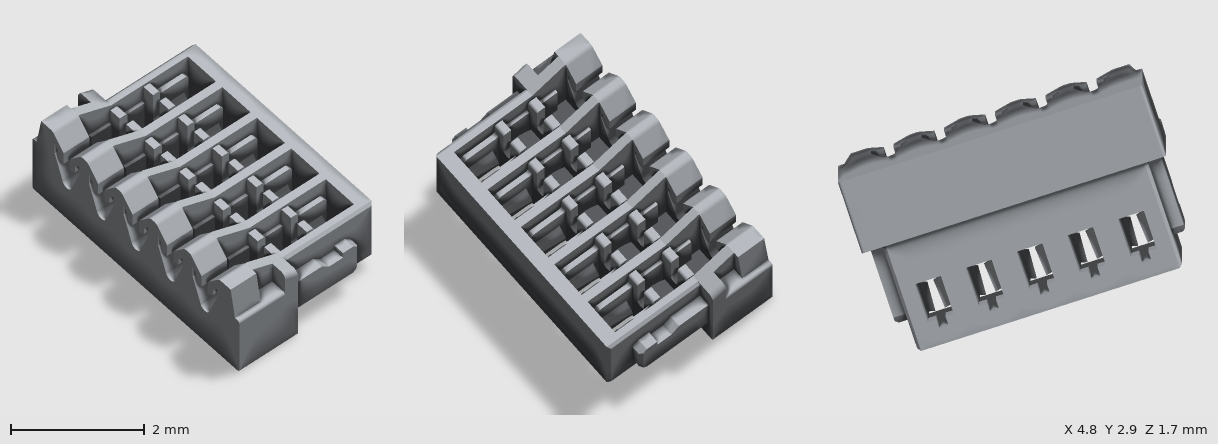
import cadquery as cq
import math

width = 4.8
depth = 2.9
height = 1.7
contact_count = 5
pitch = width / (contact_count + 1)
contact_positions = [(i - (contact_count - 1) / 2) * pitch for i in range(contact_count)]

head_depth = 1.145
wall_depth = 0.505
head_bottom_round = 0.05
ear_round = 0.1

rear_half_width = 2.09
rear_bottom = 0.25
rear_top = height - rear_bottom
rear_chamfer = 0.05

shelf_height = 1.14
shelf_round = 0.05
notch_depth = 0.9
notch_half_width = 2.1
end_half_width_top = 2.2
end_half_width_bottom = 2.3

latch_half_width = 2.29
latch_rear = 2.445
latch_bottom = 0.45
latch_top = 1.04
latch_corner_length = 0.115
latch_corner_height = 0.09
latch_dip_rear = 2.125
latch_dip_front = 1.86
latch_ramp_front = 1.71
latch_dip_height = 0.935
latch_chamfer = 0.05

cavity_half_width = 0.325
cavity_rear = 2.65
floor_height = 0.5
ledge_front = 0.705
ledge_top = 1.1
channel_half_width = 0.27
opening_rear = 2.505
rear_slot_half_width = 0.07

valley_top_half_width = 0.33
valley_bottom_half_width = 0.095
valley_bottom = 1.445
valley_round = 0.1
entry_half_width = 0.075
lip_edge_height = 1.42
lip_bottom = 1.18
lip_half_width = 0.19
lip_round = 0.05
lip_root_height = 1.335
pocket_half_width = 0.285
pocket_shoulder = 1.245
pocket_throat_half_width = 0.105
pocket_throat_height = 0.78
pocket_bottom = 0.695

contact_half_width = 0.295
front_blade_top = 1.4
rear_blade_top = 1.45
blade_round = 0.05
front_blade_start = 1.1
front_blade_end = 1.255
rear_blade_start = 1.75
rear_blade_end = 1.895
slot_half_width = 0.075
slot_straight_end = 0.905
slot_bottom = 0.855
base_thickness = 0.1
base_end_half_width = 0.22
base_middle_half_width = 0.26
side_wall_rear = 2.555
side_wall_top = 1.2
side_wall_inner = 0.2
side_wall_chamfer = 0.05
side_wall_blend = 0.06
finger_front = 2.005
finger_rear = 2.47
finger_root_top = 0.875
finger_bend_inset = 0.16
finger_bend_drop = 0.06
finger_tip_front = 0.05
finger_tip_rear = 0.075
finger_drop = 0.19
finger_bow = 0.007
finger_thickness = 0.06


def box(x_range, y_range, z_range):
    """Box from its lower and upper limit along each axis."""
    (x0, x1), (y0, y1), (z0, z1) = x_range, y_range, z_range
    return cq.Workplane("XY").box(x1 - x0, y1 - y0, z1 - z0, centered=False).translate((x0, y0, z0))


def along_y(outline, start, end):
    """Extrude a closed XZ outline from Y = start to Y = end."""
    return outline.extrude(start - end).translate((0, start, 0))


def head():
    """Front block whose top slopes down to the rear body, with rounded ears and bottom edges."""
    profile = [
        (0, 0),
        (head_depth, 0),
        (head_depth, rear_top),
        (wall_depth, height),
        (0, height),
    ]
    slope = cq.Vector(0, head_depth - wall_depth, rear_top - height)
    block = cq.Workplane("YZ").polyline(profile).close().extrude(width / 2, both=True)
    block = block.edges(cq.selectors.ParallelDirSelector(slope)).fillet(ear_round)
    return block.faces("<Z").edges("|Y").fillet(head_bottom_round)


def end_notch():
    """Notch above the shelf at the -X end, beside the tapered end of the wire wall."""
    taper = [
        (-width / 2, shelf_height),
        (-end_half_width_bottom, shelf_height),
        (-end_half_width_top, height),
        (-width / 2, height),
    ]
    front = along_y(cq.Workplane("XZ").polyline(taper).close(), 0, wall_depth)
    rear = box((-width / 2, -notch_half_width), (wall_depth, notch_depth), (shelf_height, height))
    edge_block = box(
        (-width / 2, shelf_round - width / 2),
        (0, notch_depth),
        (shelf_height - shelf_round, shelf_height),
    )
    edge_rod = (
        cq.Workplane("XZ")
        .center(shelf_round - width / 2, shelf_height - shelf_round)
        .circle(shelf_round)
        .extrude(-notch_depth)
    )
    return front.union(rear).union(edge_block.cut(edge_rod))


def rear_body():
    """Plain block behind the head with chamfered long and rear side edges."""
    block = box((-rear_half_width, rear_half_width), (head_depth, depth), (rear_bottom, rear_top))
    return block.edges("|Y or (|Z and >Y)").chamfer(rear_chamfer)


def latch_ribs():
    """Both side ribs as one slab through the rear body."""
    profile = [
        (head_depth, latch_bottom),
        (latch_rear - latch_corner_length, latch_bottom),
        (latch_rear, latch_bottom + latch_corner_height),
        (latch_rear, latch_top - latch_corner_height),
        (latch_rear - latch_corner_length, latch_top),
        (latch_dip_rear, latch_top),
        (latch_dip_rear, latch_dip_height),
        (latch_dip_front, latch_dip_height),
        (latch_ramp_front, latch_top),
        (head_depth, latch_top),
    ]
    slab = cq.Workplane("YZ").polyline(profile).close().extrude(latch_half_width, both=True)
    return slab.faces(">Y").edges("|Z").chamfer(latch_chamfer)


def valley():
    """Wire lead-in over one contact: sloped sides that round over at the crest."""
    slope = math.atan2(height - valley_bottom, valley_top_half_width - valley_bottom_half_width)
    tangent = valley_round * math.tan(slope / 2)
    crest_x = valley_top_half_width + tangent
    middle_x = crest_x - valley_round * math.sin(slope / 2)
    middle_z = height - valley_round * (1 - math.cos(slope / 2))
    foot_x = valley_top_half_width - tangent * math.cos(slope)
    foot_z = height - tangent * math.sin(slope)
    outline = (
        cq.Workplane("XZ")
        .moveTo(-crest_x, height)
        .threePointArc((-middle_x, middle_z), (-foot_x, foot_z))
        .lineTo(-valley_bottom_half_width, valley_bottom)
        .lineTo(-entry_half_width, lip_edge_height)
        .lineTo(entry_half_width, lip_edge_height)
        .lineTo(valley_bottom_half_width, valley_bottom)
        .lineTo(foot_x, foot_z)
        .threePointArc((middle_x, middle_z), (crest_x, height))
        .close()
    )
    return along_y(outline, 0, head_depth)


def wire_pocket():
    """V-shaped pocket through the wire wall, entered between two hooked lips."""
    arc_offset = lip_round * (1 - math.sqrt(0.5))
    arc_x = lip_half_width - arc_offset
    arc_z = lip_bottom + arc_offset
    outline = (
        cq.Workplane("XZ")
        .moveTo(-entry_half_width, lip_edge_height)
        .lineTo(-entry_half_width, lip_bottom)
        .lineTo(lip_round - lip_half_width, lip_bottom)
        .threePointArc((-arc_x, arc_z), (-lip_half_width, lip_bottom + lip_round))
        .lineTo(-lip_half_width, lip_root_height)
        .lineTo(-pocket_half_width, valley_bottom)
        .lineTo(-pocket_half_width, pocket_shoulder)
        .lineTo(-pocket_throat_half_width, pocket_throat_height)
        .threePointArc((0, pocket_bottom), (pocket_throat_half_width, pocket_throat_height))
        .lineTo(pocket_half_width, pocket_shoulder)
        .lineTo(pocket_half_width, valley_bottom)
        .lineTo(lip_half_width, lip_root_height)
        .lineTo(lip_half_width, lip_bottom + lip_round)
        .threePointArc((arc_x, arc_z), (lip_half_width - lip_round, lip_bottom))
        .lineTo(entry_half_width, lip_bottom)
        .lineTo(entry_half_width, lip_edge_height)
        .close()
    )
    return along_y(outline, 0, wall_depth)


def cavity():
    """Pocket for one contact, open at the top, with side ledges and a floor opening at the rear."""
    full_width = (-cavity_half_width, cavity_half_width)
    room = box(full_width, (wall_depth, cavity_rear), (floor_height, height))
    for ledge_range in ((ledge_front, front_blade_start), (front_blade_end, rear_blade_start)):
        ledges = box(full_width, ledge_range, (floor_height, ledge_top))
        channel = box((-channel_half_width, channel_half_width), ledge_range, (floor_height, ledge_top))
        room = room.cut(ledges.cut(channel))
    floor_range = (rear_bottom, floor_height)
    opening = box((-side_wall_inner, side_wall_inner), (rear_blade_end, opening_rear), floor_range)
    rear_slot = box(
        (-rear_slot_half_width, rear_slot_half_width), (rear_blade_end, cavity_rear), floor_range
    )
    return room.union(opening).union(rear_slot)


def make_housing():
    notch = end_notch()
    body = head().union(rear_body()).union(latch_ribs())
    body = body.cut(notch).cut(notch.mirror("YZ"))
    for tool in (valley(), wire_pocket(), cavity()):
        for x in contact_positions:
            body = body.cut(tool.translate((x, 0, 0)))
    return body


def blade(start, end, top):
    """Upright plate with a round-bottomed wire slot and a rounded top rear edge."""
    plate = box((-contact_half_width, contact_half_width), (start, end), (floor_height, top))
    plate = plate.faces(">Z").edges(">Y").fillet(blade_round)
    slot = (
        cq.Workplane("XZ")
        .moveTo(-slot_half_width, top)
        .lineTo(-slot_half_width, slot_straight_end)
        .threePointArc((0, slot_bottom), (slot_half_width, slot_straight_end))
        .lineTo(slot_half_width, top)
        .close()
    )
    return plate.cut(along_y(slot, start, end))


def base():
    """Floor plate between the blades, with bowed sides."""
    middle_y = (front_blade_end + rear_blade_start) / 2
    return (
        cq.Workplane("XY", origin=(0, 0, floor_height))
        .moveTo(-base_end_half_width, front_blade_end)
        .lineTo(base_end_half_width, front_blade_end)
        .threePointArc((base_middle_half_width, middle_y), (base_end_half_width, rear_blade_start))
        .lineTo(-base_end_half_width, rear_blade_start)
        .threePointArc((-base_middle_half_width, middle_y), (-base_end_half_width, front_blade_end))
        .close()
        .extrude(base_thickness)
    )


def side_wall():
    """+X wall behind the rear blade, blended up into the blade."""
    arc_offset = side_wall_blend * (1 - math.sqrt(0.5))
    return (
        cq.Workplane("YZ", origin=(side_wall_inner, 0, 0))
        .moveTo(rear_blade_end, floor_height)
        .lineTo(side_wall_rear, floor_height)
        .lineTo(side_wall_rear, side_wall_top - side_wall_chamfer)
        .lineTo(side_wall_rear - side_wall_chamfer, side_wall_top)
        .lineTo(rear_blade_end + side_wall_blend, side_wall_top)
        .threePointArc(
            (rear_blade_end + arc_offset, side_wall_top + arc_offset),
            (rear_blade_end, side_wall_top + side_wall_blend),
        )
        .close()
        .extrude(contact_half_width - side_wall_inner)
    )


def finger():
    """Spring finger bent down from the +X wall, reaching furthest inward at its front end."""
    tip_z = finger_root_top - finger_drop
    bend_z = finger_root_top - finger_bend_drop
    arc_x = (finger_bend_inset + finger_tip_front) / 2
    arc_z = (bend_z + tip_z) / 2 + finger_bow
    outline = (
        cq.Workplane("XZ")
        .moveTo(side_wall_inner, finger_root_top)
        .lineTo(finger_bend_inset, bend_z)
        .threePointArc((arc_x, arc_z), (finger_tip_front, tip_z))
        .lineTo(finger_tip_front, tip_z - finger_thickness)
        .threePointArc((arc_x, arc_z - finger_thickness), (finger_bend_inset, bend_z - finger_thickness))
        .lineTo(side_wall_inner, finger_root_top - finger_thickness)
        .close()
    )
    tip_trim = (
        cq.Workplane("XY")
        .polyline(
            [
                (finger_tip_front, finger_front),
                (finger_tip_rear, finger_rear),
                (0, finger_rear),
                (0, finger_front),
            ]
        )
        .close()
        .extrude(height)
    )
    return along_y(outline, finger_front, finger_rear).cut(tip_trim)


def make_contact():
    """One insulation-displacement contact, centred on X = 0."""
    side = side_wall().union(finger())
    body = blade(front_blade_start, front_blade_end, front_blade_top).union(base())
    body = body.union(blade(rear_blade_start, rear_blade_end, rear_blade_top))
    return body.union(side).union(side.mirror("YZ"))


housing = make_housing()
contact = make_contact()
contacts = [contact.translate((x, 0, 0)).val() for x in contact_positions]

result = cq.Compound.makeCompound([housing.val(), *contacts])